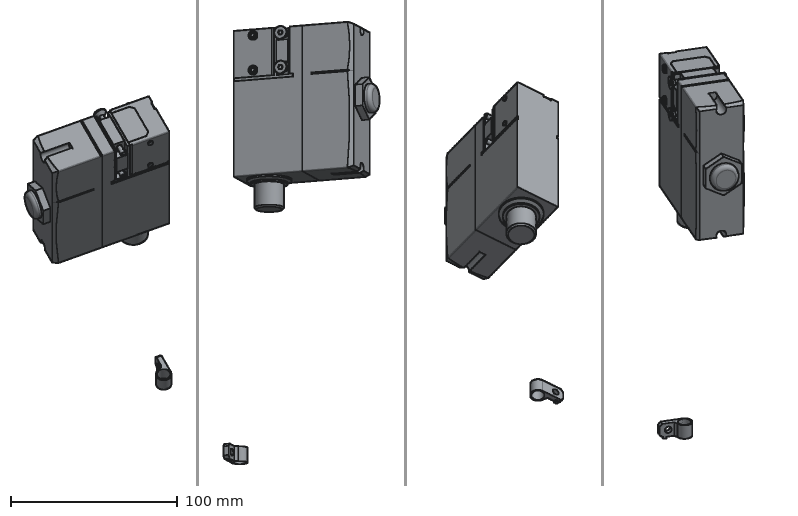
import cadquery as cq
import math


CASE_WIDTH = 30.0
CASE_HEIGHT = 89.5
HOUSING_DEPTH = 44.0
COVER_DEPTH = 32.5
EDGE_ROUND = 0.5
SIDE_X = CASE_WIDTH / 2
FRONT_Y = -COVER_DEPTH
BACK_Y = HOUSING_DEPTH

SHALLOW_DEPTH = 0.8
REAR_GROOVE_INSET = 25.7
LEDGE_WIDTH = 1.3
LEDGE_DEPTH = 0.4
STRIP_INSET = 27.3
STRIP_LENGTH = 7.3
FRONT_GROOVE_WIDTH = 1.3
TERMINAL_DROP = 29.0
BAND_HEIGHT = 1.8
BAND_LENGTH = 38.0
POCKET_DEPTH = 4.7
POCKET_HEIGHT = 7.9

PANEL_WIDTH = 24.5
PANEL_LENGTH = 14.2
PANEL_CORNER = 2.4
PANEL_DEPTH = 0.3

NOTCH_WIDTH = 5.2
NOTCH_X = -7.0
NOTCH_DEPTH = 0.8
NOTCH_HEIGHT = 1.5

UPPER_SCREW_DROP = 4.0
SCREW_PITCH = 21.2
SCREW_INSET = 31.0
SCREW_HEAD_DIAMETER = 7.9
SCREW_HEAD_RIM = 0.8
SCREW_SHANK_DIAMETER = 3.1
SCREW_HEAD_END = -17.8
SCREW_TIP_END = 17.0
SCREW_TIP_CHAMFER = 0.8
SOCKET_SIZE = 3.0
SOCKET_DEPTH = 1.0
RIVET_INSET = 12.5
RIVET_DIAMETER = 5.5
RIVET_HEIGHT = 1.5
RIVET_TAIL_DIAMETER = 3.1
RIVET_TAIL_HEIGHT = 0.8

JOINT_GROOVE_WIDTH = 1.0
JOINT_GROOVE_DEPTH = 0.3

BEVEL_WIDTH = 1.3
BEVEL_CORNER_SETBACK = 3.7
BEVEL_MIDDLE_SETBACK = 2.0
CHANNEL_RADIUS = 3.1
CHANNEL_DROP = 2.4
CHANNEL_LENGTH = 18.5
CREASE_DROP = 30.0
CREASE_WIDTH = 1.0
CREASE_DEPTH = 0.4
CREASE_START_Y = -5.8

HEX_ACROSS_FLATS = 22.5
HEX_HEIGHT = 4.7
BUTTON_DIAMETER = 17.5
BUTTON_HEIGHT = 4.2
BUTTON_ROUND = 2.5

GLAND_INSET = 17.0
GLAND_X = 0.3
GLAND_BASE_DIAMETER = 27.0
GLAND_COLLAR_DIAMETER = 22.0
GLAND_BARREL_DIAMETER = 17.8
GLAND_RIM_HEIGHT = 1.0
GLAND_BASE_HEIGHT = 2.0
GLAND_COLLAR_END = 3.1
GLAND_LENGTH = 18.4
GLAND_CHAMFER = 1.0

TOTAL_HEIGHT = 262.2
CLIP_HEIGHT = 9.2
CLIP_LUG_DROP = 1.0
CLIP_LUG_WIDTH = 2.0
CLIP_LUG_X = -10.2
CLIP_BACK_Y = BACK_Y + 7.0
CLIP_LOOP_RADIUS = 4.7
CLIP_LOOP_X = 1.5
CLIP_NECK_X = -4.5
CLIP_NECK_DEPTH = 2.4
CLIP_WALL = 0.8
CLIP_TAB_END_X = -13.6
CLIP_TAB_THICKNESS = 3.5
CLIP_TAB_CORNER = 1.8
CLIP_HOLE_X = -8.0
CLIP_HOLE_DIAMETER = 4.2
CLIP_BOTTOM_Z = CASE_HEIGHT - TOTAL_HEIGHT + CLIP_LUG_DROP

SCREW_Y = BACK_Y - SCREW_INSET
RIVET_Y = BACK_Y - RIVET_INSET
SCREW_HEIGHTS = [CASE_HEIGHT - UPPER_SCREW_DROP - i * SCREW_PITCH for i in range(2)]
OVERCUT = 2.5


def box_between(low, high):
    """Box from its lowest corner to its highest corner."""
    size = [b - a for a, b in zip(low, high)]
    return cq.Workplane("XY").box(*size, centered=False).translate(tuple(low))


def rod_along_x(diameter, start_x, end_x, y, z):
    plane = cq.Plane(origin=(start_x, y, z), xDir=(0, 1, 0), normal=(1, 0, 0))
    return cq.Workplane(plane).circle(diameter / 2).extrude(end_x - start_x)


def case_block(low_y, high_y):
    block = box_between((-SIDE_X, low_y, 0), (SIDE_X, high_y, CASE_HEIGHT))
    return block.edges("|Y").fillet(EDGE_ROUND)


def shallow_ring(low_y, high_y):
    """Material to cut from both sides and the top of the terminal section."""
    low_z = CASE_HEIGHT - TERMINAL_DROP
    outer = box_between((-SIDE_X, low_y, low_z), (SIDE_X, high_y, CASE_HEIGHT))
    core_x = SIDE_X - SHALLOW_DEPTH
    core = box_between((-core_x, low_y, low_z), (core_x, high_y, CASE_HEIGHT - SHALLOW_DEPTH))
    return outer.cut(core)


def terminal_cuts():
    """Grooves beside the terminal strip, the ledge and band around them, and the four screw pockets."""
    strip_back = BACK_Y - STRIP_INSET
    strip_front = strip_back - STRIP_LENGTH
    cuts = shallow_ring(strip_back, BACK_Y - REAR_GROOVE_INSET)
    cuts = cuts.union(shallow_ring(strip_front - FRONT_GROOVE_WIDTH, strip_front))
    band_top = CASE_HEIGHT - TERMINAL_DROP
    pocket_tops = [CASE_HEIGHT, band_top + POCKET_HEIGHT]
    for side in (-1, 1):
        band = box_between(
            (SIDE_X - SHALLOW_DEPTH, BACK_Y - BAND_LENGTH, band_top - BAND_HEIGHT),
            (SIDE_X, BACK_Y, band_top),
        )
        ledge = box_between(
            (SIDE_X - LEDGE_DEPTH, BACK_Y - REAR_GROOVE_INSET, band_top),
            (SIDE_X, BACK_Y - REAR_GROOVE_INSET + LEDGE_WIDTH, CASE_HEIGHT),
        )
        pockets = [
            box_between(
                (SIDE_X - POCKET_DEPTH, strip_front, top - POCKET_HEIGHT),
                (SIDE_X, strip_back, top),
            )
            for top in pocket_tops
        ]
        for cut in [band, ledge, *pockets]:
            cuts = cuts.union(cut if side > 0 else cut.mirror("YZ"))
    return cuts


def top_panel_cut():
    """Shallow panel with two cut corners, open to the rear terminal groove."""
    front_y = BACK_Y - REAR_GROOVE_INSET
    panel = box_between(
        (-PANEL_WIDTH / 2, front_y, CASE_HEIGHT - PANEL_DEPTH),
        (PANEL_WIDTH / 2, front_y + PANEL_LENGTH, CASE_HEIGHT),
    )
    return panel.edges("|Z and >Y").chamfer(PANEL_CORNER)


def back_notch_cut():
    return box_between(
        (NOTCH_X - NOTCH_WIDTH / 2, BACK_Y - NOTCH_DEPTH, CASE_HEIGHT - NOTCH_HEIGHT),
        (NOTCH_X + NOTCH_WIDTH / 2, BACK_Y, CASE_HEIGHT),
    )


def rivet_ends(z):
    """Chamfered, socketed head on the -X side and plain tail on the +X side."""
    head = rod_along_x(RIVET_DIAMETER, -SIDE_X - RIVET_HEIGHT, 0, RIVET_Y, z)
    head = head.faces("<X").edges().chamfer(RIVET_HEIGHT / 2)
    head = head.cut(hex_socket(-SIDE_X - RIVET_HEIGHT, RIVET_Y, z))
    return head.union(rod_along_x(RIVET_TAIL_DIAMETER, 0, SIDE_X + RIVET_TAIL_HEIGHT, RIVET_Y, z))


def hex_socket(start_x, y, z):
    plane = cq.Plane(origin=(start_x, y, z), xDir=(0, 1, 0), normal=(1, 0, 0))
    return cq.Workplane(plane).polygon(6, SOCKET_SIZE).extrude(SOCKET_DEPTH)


def make_screw(z):
    """Countersunk screw with its head on the -X side and its tip on the +X side."""
    head_radius = SCREW_HEAD_DIAMETER / 2
    shank_radius = SCREW_SHANK_DIAMETER / 2
    screw = (
        cq.Workplane("XY")
        .moveTo(SCREW_HEAD_END, 0)
        .lineTo(SCREW_HEAD_END, head_radius)
        .lineTo(SCREW_HEAD_END + SCREW_HEAD_RIM, head_radius)
        .lineTo(-SIDE_X, shank_radius)
        .lineTo(SCREW_TIP_END - SCREW_TIP_CHAMFER, shank_radius)
        .lineTo(SCREW_TIP_END, shank_radius - SCREW_TIP_CHAMFER)
        .lineTo(SCREW_TIP_END, 0)
        .close()
        .revolve(360, (0, 0, 0), (1, 0, 0))
        .translate((0, SCREW_Y, z))
    )
    return screw.cut(hex_socket(SCREW_HEAD_END, SCREW_Y, z))


def make_housing():
    housing = case_block(0, BACK_Y)
    housing = housing.cut(terminal_cuts()).cut(top_panel_cut()).cut(back_notch_cut())
    for z in SCREW_HEIGHTS:
        housing = housing.cut(rod_along_x(SCREW_SHANK_DIAMETER, -SIDE_X, SIDE_X, SCREW_Y, z))
        housing = housing.union(rivet_ends(z))
    return housing


def bevel_cut(start, end, inward):
    """Wedge between a scalloped arc on an outer face and a straight line on the front face.

    start and end are (x, z) corners on the outer face; inward is the (x, z) direction into the cover.
    """
    corner_y = FRONT_Y + BEVEL_CORNER_SETBACK
    clear_y = FRONT_Y - OVERCUT

    def point(xz, y, depth):
        return cq.Vector(xz[0] + inward[0] * depth, y, xz[1] + inward[1] * depth)

    def profile(first_edge, depth):
        near = [point(end, first_edge.endPoint().y, depth), point(end, clear_y, depth)]
        far = [point(start, clear_y, depth), first_edge.startPoint()]
        corners = near + far
        lines = [cq.Edge.makeLine(a, b) for a, b in zip(corners, corners[1:])]
        return cq.Wire.assembleEdges([first_edge, *lines])

    middle = ((start[0] + end[0]) / 2, (start[1] + end[1]) / 2)
    scallop = cq.Edge.makeThreePointArc(
        point(start, corner_y, 0),
        point(middle, FRONT_Y + BEVEL_MIDDLE_SETBACK, 0),
        point(end, corner_y, 0),
    )
    front_line = cq.Edge.makeLine(
        point(start, FRONT_Y, BEVEL_WIDTH), point(end, FRONT_Y, BEVEL_WIDTH)
    )
    wedge = cq.Solid.makeLoft([profile(scallop, 0), profile(front_line, BEVEL_WIDTH)], True)
    return cq.Workplane(wedge)


def crease_cut(side):
    """V-shaped crease along one side of the cover, running to the front."""
    z = CASE_HEIGHT - CREASE_DROP
    return (
        cq.Workplane("XZ", origin=(0, CREASE_START_Y, 0))
        .moveTo(side * SIDE_X, z - CREASE_WIDTH / 2)
        .lineTo(side * (SIDE_X - CREASE_DEPTH), z)
        .lineTo(side * SIDE_X, z + CREASE_WIDTH / 2)
        .close()
        .extrude(CREASE_START_Y - FRONT_Y)
    )


def joint_groove_cut():
    return box_between(
        (-SIDE_X, -JOINT_GROOVE_WIDTH, CASE_HEIGHT - JOINT_GROOVE_DEPTH),
        (SIDE_X, 0, CASE_HEIGHT),
    )


def make_cover():
    cover = case_block(FRONT_Y, 0).cut(joint_groove_cut())
    crease_z = CASE_HEIGHT - CREASE_DROP
    for side in (-1, 1):
        x = side * SIDE_X
        cover = cover.cut(bevel_cut((x, 0), (x, crease_z), (-side, 0)))
        cover = cover.cut(bevel_cut((x, crease_z), (x, CASE_HEIGHT), (-side, 0)))
        cover = cover.cut(crease_cut(side))
    for z, inward in ((0, 1), (CASE_HEIGHT, -1)):
        cover = cover.cut(bevel_cut((-SIDE_X, z), (SIDE_X, z), (0, inward)))
        channel = (
            cq.Workplane("XZ", origin=(0, FRONT_Y + CHANNEL_LENGTH, 0))
            .center(0, z + inward * CHANNEL_DROP)
            .circle(CHANNEL_RADIUS)
            .extrude(CHANNEL_LENGTH)
        )
        cover = cover.cut(channel)
    return cover


def make_button():
    """Hexagonal base with corners up and down, carrying a rounded button."""
    base = (
        cq.Workplane("XZ", origin=(0, FRONT_Y, CASE_HEIGHT / 2))
        .transformed(rotate=(0, 0, 90))
        .polygon(6, HEX_ACROSS_FLATS / math.cos(math.pi / 6))
        .extrude(HEX_HEIGHT)
    )
    button = (
        cq.Workplane("XZ", origin=(0, FRONT_Y - HEX_HEIGHT, CASE_HEIGHT / 2))
        .circle(BUTTON_DIAMETER / 2)
        .extrude(BUTTON_HEIGHT)
        .faces("<Y")
        .edges()
        .fillet(BUTTON_ROUND)
    )
    return base.union(button)


def make_gland():
    """Turned gland: tapered base, collar and barrel."""
    base_radius = GLAND_BASE_DIAMETER / 2
    collar_radius = GLAND_COLLAR_DIAMETER / 2
    barrel_radius = GLAND_BARREL_DIAMETER / 2
    return (
        cq.Workplane("YZ")
        .moveTo(0, 0)
        .lineTo(-base_radius, 0)
        .lineTo(-base_radius, -GLAND_RIM_HEIGHT)
        .lineTo(-collar_radius, -GLAND_BASE_HEIGHT)
        .lineTo(-collar_radius, -GLAND_COLLAR_END)
        .lineTo(-barrel_radius, -GLAND_COLLAR_END)
        .lineTo(-barrel_radius, GLAND_CHAMFER - GLAND_LENGTH)
        .lineTo(GLAND_CHAMFER - barrel_radius, -GLAND_LENGTH)
        .lineTo(0, -GLAND_LENGTH)
        .close()
        .revolve(360, (0, 0, 0), (0, 1, 0))
        .translate((GLAND_X, BACK_Y - GLAND_INSET, 0))
    )


def make_clip():
    """Cable clip: a thin loop joined to a flat tab with a screw hole and a small lug below."""
    loop_y = CLIP_BACK_Y - CLIP_LOOP_RADIUS
    tab_front_y = CLIP_BACK_Y - CLIP_TAB_THICKNESS
    tab = box_between(
        (CLIP_TAB_END_X, tab_front_y, CLIP_BOTTOM_Z),
        (CLIP_LOOP_X, CLIP_BACK_Y, CLIP_BOTTOM_Z + CLIP_HEIGHT),
    )
    tab = tab.edges("|Y and <X").chamfer(CLIP_TAB_CORNER)
    lug = box_between(
        (CLIP_LUG_X - CLIP_LUG_WIDTH / 2, tab_front_y, CLIP_BOTTOM_Z - CLIP_LUG_DROP),
        (CLIP_LUG_X + CLIP_LUG_WIDTH / 2, CLIP_BACK_Y - CLIP_TAB_THICKNESS / 2, CLIP_BOTTOM_Z),
    )
    loop = cq.Workplane("XY", origin=(CLIP_LOOP_X, loop_y, CLIP_BOTTOM_Z))
    outside = loop.circle(CLIP_LOOP_RADIUS).extrude(CLIP_HEIGHT)
    bore = loop.circle(CLIP_LOOP_RADIUS - CLIP_WALL).extrude(CLIP_HEIGHT)
    neck = (
        cq.Workplane("XY", origin=(0, 0, CLIP_BOTTOM_Z))
        .moveTo(CLIP_NECK_X, tab_front_y)
        .lineTo(CLIP_LOOP_X - CLIP_LOOP_RADIUS, tab_front_y - CLIP_NECK_DEPTH)
        .lineTo(CLIP_LOOP_X, tab_front_y)
        .close()
        .extrude(CLIP_HEIGHT)
    )
    hole = (
        cq.Workplane("XZ", origin=(CLIP_HOLE_X, CLIP_BACK_Y, CLIP_BOTTOM_Z + CLIP_HEIGHT / 2))
        .circle(CLIP_HOLE_DIAMETER / 2)
        .extrude(CLIP_TAB_THICKNESS)
    )
    return tab.union(lug).union(neck).union(outside).cut(bore).cut(hole)


housing = make_housing()
cover = make_cover()
button = make_button()
gland = make_gland()
clip = make_clip()
screws = [make_screw(z) for z in SCREW_HEIGHTS]

bodies = [housing, cover, button, gland, clip, *screws]
result = cq.Compound.makeCompound([body.solids().val() for body in bodies])